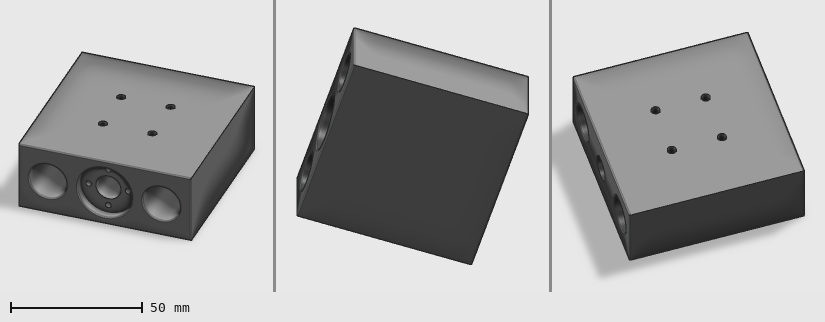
import cadquery as cq

side = 70.0
height = 28.0
edge_fillet = 0.5

guide_diameter = 15.2
guide_spacing = 46.05

centre_bore_diameter = 10.2
recess_diameter = 22.1
recess_depth = 4.0

flange_hole_diameter = 2.3
flange_circle_diameter = 15.95
flange_hole_depth = 9.8
flange_hole_count = 4

mount_hole_diameter = 3.4
mount_spacing = 20.0
mount_hole_depth = 9.8

front = -side / 2
top = height / 2


def cylinder_y(x, diameter, length):
    """Cylinder at mid height running from the front face toward +Y."""
    return cq.Workplane("XZ", origin=(x, front, 0)).circle(diameter / 2).extrude(-length)


block = cq.Workplane("XY").box(side, side, height)
for x in (-guide_spacing / 2, guide_spacing / 2):
    block = block.cut(cylinder_y(x, guide_diameter, side))
block = block.cut(cylinder_y(0, recess_diameter, recess_depth))

block = block.faces("<Y or >Y").edges().fillet(edge_fillet)

block = block.cut(cylinder_y(0, centre_bore_diameter, side))

flange_holes = (
    cq.Workplane("XZ", origin=(0, front + recess_depth, 0))
    .polarArray(flange_circle_diameter / 2, 0, 360, flange_hole_count)
    .circle(flange_hole_diameter / 2)
    .extrude(-flange_hole_depth)
)
block = block.cut(flange_holes)

mount_holes = (
    cq.Workplane("XY", origin=(0, 0, top))
    .rect(mount_spacing, mount_spacing, forConstruction=True)
    .vertices()
    .circle(mount_hole_diameter / 2)
    .extrude(-mount_hole_depth)
)
result = block.cut(mount_holes)